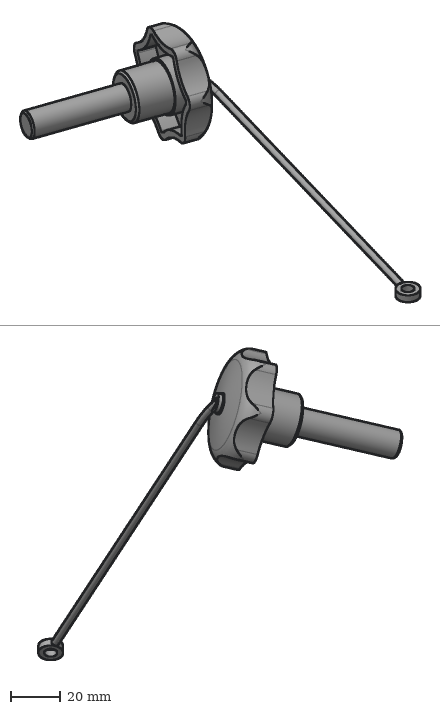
import cadquery as cq
import math


overall_length = 210.5

lobe_count = 7
head_radius = 25.0
valley_radius = 21.3
lobe_radius = 4.2
wall = 3.2
cavity_depth = 8.5
shoulder_radius = 8.0
shoulder_start = 5.0
dome_height = 15.0

collar_diameter = 24.0
hub_diameter = 22.0
hub_length = 17.0
hub_chamfer = 1.0
stud_diameter = 12.0
stud_end = 61.9
stud_chamfer = 0.8

flange_diameter = 8.8
flange_top = 15.4
button_diameter = 8.0
button_top = 17.3

cord_diameter = 3.2
cord_tip_diameter = 3.0
cord_height = 18.0
cord_drop = 0.8
bend_start = 4.0
bend_end = 15.0
tip_x = -1.7
eye_diameter = 10.0
eye_hole_diameter = 5.3
head_reach = (head_radius - lobe_radius) * math.cos(math.pi / (2 * lobe_count)) + lobe_radius
eye_x = overall_length - head_reach - eye_diameter / 2
eye_thickness = 3.4


def cylinder_y(diameter, start, end):
    """Cylinder on the knob axis between two Y positions."""
    return cq.Workplane("XZ", origin=(0, end, 0)).circle(diameter / 2).extrude(end - start)


def polar(radius, angle):
    return (radius * math.cos(angle), radius * math.sin(angle))


def star_outline():
    """Lobe arcs joined tangentially to concave flute arcs, first lobe pointing to -Z."""
    half_pitch = math.pi / lobe_count
    lobe_centre = head_radius - lobe_radius
    along = lobe_centre * math.cos(half_pitch)
    flute_radius = (valley_radius**2 + lobe_centre**2 - 2 * valley_radius * along - lobe_radius**2) / (
        2 * (lobe_radius + along - valley_radius)
    )
    flute_centre = valley_radius + flute_radius
    share = lobe_radius / (lobe_radius + flute_radius)
    touch_x = lobe_centre + share * (flute_centre * math.cos(half_pitch) - lobe_centre)
    touch_y = share * flute_centre * math.sin(half_pitch)
    touch_radius = math.hypot(touch_x, touch_y)
    touch_angle = math.atan2(touch_y, touch_x)

    first = -math.pi / 2
    outline = cq.Workplane("XZ").moveTo(*polar(touch_radius, first - touch_angle))
    for index in range(lobe_count):
        lobe = first + 2 * half_pitch * index
        next_lobe = lobe + 2 * half_pitch
        outline = outline.threePointArc(polar(head_radius, lobe), polar(touch_radius, lobe + touch_angle))
        outline = outline.threePointArc(
            polar(valley_radius, lobe + half_pitch), polar(touch_radius, next_lobe - touch_angle)
        )
    return outline.close()


def domed_blank():
    """Revolved envelope: a rounded shoulder running tangentially into a crown centred on the axis."""
    shoulder_centre = head_radius - shoulder_radius
    rise = dome_height - shoulder_start
    crown_radius = (shoulder_centre**2 + rise**2 - shoulder_radius**2) / (2 * (rise - shoulder_radius))
    crown_centre = dome_height - crown_radius
    join_angle = math.atan2(shoulder_start - crown_centre, shoulder_centre)

    def shoulder_point(angle):
        x, y = polar(shoulder_radius, angle)
        return (shoulder_centre + x, shoulder_start + y)

    def crown_point(angle):
        x, y = polar(crown_radius, angle)
        return (x, crown_centre + y)

    return (
        cq.Workplane("XY")
        .lineTo(head_radius, 0)
        .lineTo(head_radius, shoulder_start)
        .threePointArc(shoulder_point(join_angle / 2), shoulder_point(join_angle))
        .threePointArc(crown_point((join_angle + math.pi / 2) / 2), (0, dome_height))
        .close()
        .revolve(360, (0, 0, 0), (0, 1, 0))
    )


def head():
    star = star_outline().extrude(-dome_height)
    cavity = star_outline().offset2D(-wall).extrude(-cavity_depth)
    return star.intersect(domed_blank()).cut(cavity)


def hub_and_stud():
    collar = cylinder_y(collar_diameter, 0, cavity_depth)
    hub = cylinder_y(hub_diameter, -hub_length, cavity_depth).faces("<Y").chamfer(hub_chamfer)
    stud = cylinder_y(stud_diameter, -stud_end, 0).faces("<Y").chamfer(stud_chamfer)
    return collar.union(hub).union(stud)


def button():
    flange = cylinder_y(flange_diameter, cavity_depth, flange_top)
    return flange.union(cylinder_y(button_diameter, cavity_depth, button_top))


def cord():
    """Straight cord, gently bent down and tapering into the button."""
    bend_length = bend_end - bend_start
    bend_radius = (bend_length**2 + cord_drop**2) / (2 * cord_drop)
    slope = math.asin(bend_length / bend_radius)
    eye_wall_middle = eye_x - (eye_diameter + eye_hole_diameter) / 4
    straight_and_bend = (
        cq.Workplane("YZ", origin=(eye_wall_middle, cord_height, 0))
        .circle(cord_diameter / 2)
        .sweep(
            cq.Workplane("XY")
            .moveTo(eye_wall_middle, cord_height)
            .lineTo(bend_end, cord_height)
            .tangentArcPoint((bend_start, cord_height - cord_drop), relative=False)
        )
    )
    direction = cq.Vector(-math.cos(slope), -math.sin(slope), 0)
    taper_length = (bend_start - tip_x) / math.cos(slope)
    taper = cq.Solid.makeCone(
        cord_diameter / 2,
        cord_tip_diameter / 2,
        taper_length,
        cq.Vector(bend_start, cord_height - cord_drop, 0),
        direction,
    )
    return straight_and_bend.union(cq.Workplane(taper))


def add_eye(body):
    eye = cq.Workplane("XY", origin=(eye_x, cord_height, -eye_thickness / 2))
    disc = eye.circle(eye_diameter / 2).extrude(eye_thickness)
    hole = eye.circle(eye_hole_diameter / 2).extrude(eye_thickness)
    return body.union(disc).cut(hole)


result = head().union(hub_and_stud()).union(button()).union(add_eye(cord()))